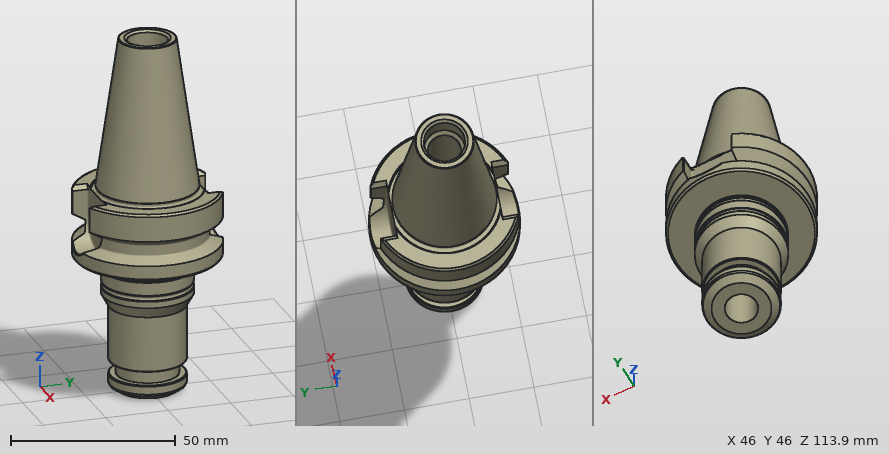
import cadquery as cq

TOTAL_HEIGHT = 113.9
SELECT_MARGIN = 0.1

TAPER_RATIO = 7 / 24
TAPER_DIA = 31.8
TAPER_BASE_Z = 66.1
TIP_DIA = TAPER_DIA - TAPER_RATIO * (TOTAL_HEIGHT - TAPER_BASE_Z)
TIP_CHAMFER = 0.2
RELIEF_DIA = 31.1
RELIEF_STEP = (TAPER_DIA - RELIEF_DIA) / 2
RELIEF_FILLET = 0.5

FLANGE_DIA = 46.0
FLANGE_BOTTOM_Z = 43.4
FLANGE_TOP_Z = 64.9
FLANGE_CHAMFER = 0.7
UPPER_RIM_BOTTOM_Z = 56.3
LOWER_RIM_TOP_Z = 48.3
GROOVE_DIA = 38.0
GROOVE_TOP_Z = 53.8
GROOVE_BOTTOM_Z = 50.1
GROOVE_FILLET = 0.5
RECESS_DIA = 35.0
RECESS_DEPTH = 0.3
RECESS_Z = FLANGE_TOP_Z - RECESS_DEPTH

SLOT_WIDTH = 16.4
SLOT_FLOOR_Y = 16.3
SLOT_ARC_CENTER_Z = 54.8
SLOT_TOP_CHAMFER = 1.4
SLOT_FLOOR_FILLET = 0.6
SLOT_RIM_CHAMFER = 0.3

COLLAR_DIA = 28.5
COLLAR_END_Z = 31.3
RING_CENTERS_Z = (34.4, 40.5, FLANGE_BOTTOM_Z)
RING_WIDTH = 2.0
RING_DEPTH = 0.5
RING_BREAK_HEIGHT = 0.3
RING_BREAK_DEPTH = 0.1

SPIGOT_DIA = 24.0
SPIGOT_TOP_Z = 27.5
SPIGOT_BOTTOM_Z = 9.6
NECK_DIA = 19.5
END_DISC_TOP_Z = 5.2
EDGE_BREAK = 0.3
END_BEVEL_TOP_Z = 2.4
END_BEVEL_MID_Z = 1.7
END_FACE_DIA = 18.2

THROUGH_DIA = 10.1
COUNTERBORE_DIA = 12.5
COUNTERBORE_DEPTH = 6.8
MOUTH_DIA = 14.2
MOUTH_DEPTH = 0.7
SEAT_HEIGHT = (COUNTERBORE_DIA - THROUGH_DIA) / 2


def turn(outline):
    """Revolve a closed XZ outline about the Z axis."""
    return outline.close().revolve(360, (0, 0, 0), (0, 1, 0))


def lower_shank():
    """End disc, neck, spigot and collar below the flange."""
    spigot_r = SPIGOT_DIA / 2
    neck_r = NECK_DIA / 2
    collar_r = COLLAR_DIA / 2
    return turn(
        cq.Workplane("XZ")
        .lineTo(END_FACE_DIA / 2, 0)
        .lineTo(spigot_r - EDGE_BREAK, END_BEVEL_MID_Z)
        .lineTo(spigot_r, END_BEVEL_TOP_Z)
        .lineTo(spigot_r, END_DISC_TOP_Z - EDGE_BREAK)
        .lineTo(spigot_r - EDGE_BREAK, END_DISC_TOP_Z)
        .lineTo(neck_r, END_DISC_TOP_Z)
        .lineTo(neck_r, SPIGOT_BOTTOM_Z)
        .lineTo(spigot_r - EDGE_BREAK, SPIGOT_BOTTOM_Z)
        .lineTo(spigot_r, SPIGOT_BOTTOM_Z + EDGE_BREAK)
        .lineTo(spigot_r, SPIGOT_TOP_Z)
        .lineTo(collar_r, COLLAR_END_Z)
        .lineTo(collar_r, FLANGE_BOTTOM_Z)
        .lineTo(0, FLANGE_BOTTOM_Z)
    )


def ring_groove(center_z):
    """Cutter for a shallow round-bottomed ring with broken edges in the collar."""
    collar_r = COLLAR_DIA / 2
    half = RING_WIDTH / 2
    arc_half = half - RING_BREAK_HEIGHT
    arc_r = collar_r - RING_BREAK_DEPTH
    return turn(
        cq.Workplane("XZ")
        .moveTo(collar_r, center_z - half)
        .lineTo(arc_r, center_z - arc_half)
        .threePointArc((collar_r - RING_DEPTH, center_z), (arc_r, center_z + arc_half))
        .lineTo(collar_r, center_z + half)
    )


def flange():
    """Flange with a V-sided gripper groove and chamfered rims."""
    flange_r = FLANGE_DIA / 2
    groove_r = GROOVE_DIA / 2
    body = turn(
        cq.Workplane("XZ")
        .moveTo(0, FLANGE_BOTTOM_Z)
        .lineTo(flange_r - FLANGE_CHAMFER, FLANGE_BOTTOM_Z)
        .lineTo(flange_r, FLANGE_BOTTOM_Z + FLANGE_CHAMFER)
        .lineTo(flange_r, LOWER_RIM_TOP_Z)
        .lineTo(groove_r, GROOVE_BOTTOM_Z)
        .lineTo(groove_r, GROOVE_TOP_Z)
        .lineTo(flange_r, UPPER_RIM_BOTTOM_Z)
        .lineTo(flange_r, FLANGE_TOP_Z - FLANGE_CHAMFER)
        .lineTo(flange_r - FLANGE_CHAMFER, FLANGE_TOP_Z)
        .lineTo(RECESS_DIA / 2, FLANGE_TOP_Z)
        .lineTo(RECESS_DIA / 2 - RECESS_DEPTH, RECESS_Z)
        .lineTo(0, RECESS_Z)
    )
    groove_corners = cq.selectors.BoxSelector(
        (-groove_r - SELECT_MARGIN, -groove_r - SELECT_MARGIN, GROOVE_BOTTOM_Z - SELECT_MARGIN),
        (groove_r + SELECT_MARGIN, groove_r + SELECT_MARGIN, GROOVE_TOP_Z + SELECT_MARGIN),
        boundingbox=True,
    )
    return body.edges(groove_corners).edges("%CIRCLE").fillet(GROOVE_FILLET)


def taper():
    """Taper above the flange, with a relief neck that fillets into the recess floor."""
    relief_r = RELIEF_DIA / 2
    side_r = TIP_DIA / 2 + TAPER_RATIO * TIP_CHAMFER / 2
    return turn(
        cq.Workplane("XZ")
        .moveTo(0, RECESS_Z)
        .lineTo(relief_r + RELIEF_FILLET, RECESS_Z)
        .radiusArc((relief_r, RECESS_Z + RELIEF_FILLET), RELIEF_FILLET)
        .lineTo(relief_r, TAPER_BASE_Z - RELIEF_STEP)
        .lineTo(TAPER_DIA / 2, TAPER_BASE_Z)
        .lineTo(side_r, TOTAL_HEIGHT - TIP_CHAMFER)
        .lineTo(TIP_DIA / 2 - TIP_CHAMFER, TOTAL_HEIGHT)
        .lineTo(0, TOTAL_HEIGHT)
    )


def bore():
    """Stepped hole: chamfered mouth, counterbore, conical seat, through hole."""
    through_r = THROUGH_DIA / 2
    counterbore_r = COUNTERBORE_DIA / 2
    counterbore_z = TOTAL_HEIGHT - COUNTERBORE_DEPTH
    return turn(
        cq.Workplane("XZ")
        .lineTo(through_r, 0)
        .lineTo(through_r, counterbore_z - SEAT_HEIGHT)
        .lineTo(counterbore_r, counterbore_z)
        .lineTo(counterbore_r, TOTAL_HEIGHT - MOUTH_DEPTH)
        .lineTo(MOUTH_DIA / 2, TOTAL_HEIGHT)
        .lineTo(0, TOTAL_HEIGHT)
    )


def drive_slot():
    """Cutter for the -Y slot: round lower end, filleted floor, bevelled top edges."""
    half = SLOT_WIDTH / 2
    length = FLANGE_DIA / 2 - SLOT_FLOOR_Y
    bevel_bottom_z = FLANGE_TOP_Z - SLOT_TOP_CHAMFER
    floor_plane = cq.Workplane("XZ", origin=(0, -SLOT_FLOOR_Y, 0))
    slot = (
        floor_plane
        .moveTo(-half, FLANGE_TOP_Z)
        .lineTo(-half, SLOT_ARC_CENTER_Z)
        .threePointArc((0, SLOT_ARC_CENTER_Z - half), (half, SLOT_ARC_CENTER_Z))
        .lineTo(half, FLANGE_TOP_Z)
        .close()
        .extrude(length)
        .faces(">Y")
        .edges("not >Z")
        .fillet(SLOT_FLOOR_FILLET)
    )
    top_bevel = (
        floor_plane
        .moveTo(-half, bevel_bottom_z)
        .lineTo(half, bevel_bottom_z)
        .lineTo(half + SLOT_TOP_CHAMFER, FLANGE_TOP_Z)
        .lineTo(-half - SLOT_TOP_CHAMFER, FLANGE_TOP_Z)
        .close()
        .extrude(length)
    )
    return slot.union(top_bevel)


def slot_rim_edges(side):
    """Selector for the slot edges on the flange's outer cylinder; side is -1 or +1 along Y."""
    flange_r = FLANGE_DIA / 2
    half = SLOT_WIDTH / 2 + SELECT_MARGIN
    inner_y = (flange_r**2 - half**2) ** 0.5
    return cq.selectors.BoxSelector(
        (-half, side * inner_y, FLANGE_BOTTOM_Z + FLANGE_CHAMFER + SELECT_MARGIN),
        (half, side * (flange_r + SELECT_MARGIN), FLANGE_TOP_Z - SLOT_TOP_CHAMFER + SELECT_MARGIN),
        boundingbox=True,
    )


shank = lower_shank()
for ring_z in RING_CENTERS_Z:
    shank = shank.cut(ring_groove(ring_z))

slot_cutter = drive_slot()
result = (
    shank
    .union(flange())
    .union(taper())
    .cut(bore())
    .cut(slot_cutter)
    .cut(slot_cutter.mirror("XZ"))
)
for slot_side in (-1, 1):
    result = result.edges(slot_rim_edges(slot_side)).chamfer(SLOT_RIM_CHAMFER)